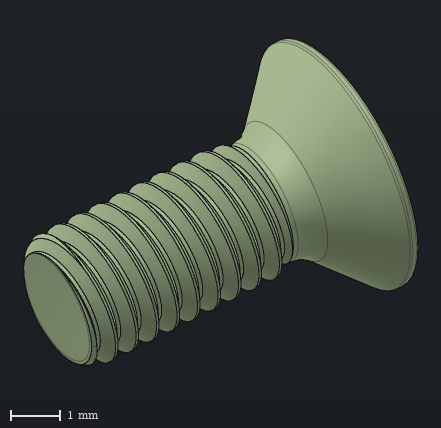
import cadquery as cq
import math

length = 7.0

head_radius = 2.8
rim_width = 0.19
rim_fillet = 0.07
neck_radius = 1.34
neck_fillet = 0.8
cone_length = head_radius - neck_radius

pitches_in_length = 14
pitch = length / pitches_in_length
thread_start = 2.1
thread_length = length - thread_start
major_radius = 1.5
root_radius = 1.2
crest_width = pitch / 8
crest_distance = 2.52
flank_half_angle = 30
flank_slope = math.tan(math.radians(flank_half_angle))
groove_overshoot = 0.035
lead_in_turns = 2
run_out_turns = 1

end_chamfer_angle = 30
end_chamfer_slope = math.tan(math.radians(end_chamfer_angle))
tip_radius = 1.295
dish_radius = 1.22
dish_depth = 0.035


def revolve_about_screw_axis(profile):
    """Turn a closed XY profile (X is the radius) around the Y axis."""
    return profile.close().revolve(360, (0, 0, 0), (0, 1, 0))


def make_head():
    """Rim, countersink cone and neck, with rounded rim edges and neck fillet."""
    cone_end = rim_width + cone_length
    blank = revolve_about_screw_axis(
        cq.Workplane("XY")
        .lineTo(head_radius, 0)
        .lineTo(head_radius, -rim_width)
        .lineTo(neck_radius, -cone_end)
        .lineTo(neck_radius, -thread_start)
        .lineTo(0, -thread_start)
    )
    rounded_neck = blank.edges("%CIRCLE").edges("<<Y[-2]").fillet(neck_fillet)
    return rounded_neck.edges("%CIRCLE").edges(">>Y or >>Y[-2]").fillet(rim_fillet)


def make_shank_envelope():
    """Outline of the finished shank: crest size, chamfered at both ends."""
    start_chamfer = (major_radius - neck_radius) / end_chamfer_slope
    tip_chamfer = (major_radius - tip_radius) / end_chamfer_slope
    return revolve_about_screw_axis(
        cq.Workplane("XY")
        .moveTo(0, -thread_start)
        .lineTo(neck_radius, -thread_start)
        .lineTo(major_radius, -thread_start - start_chamfer)
        .lineTo(major_radius, -length + tip_chamfer)
        .lineTo(tip_radius, -length)
        .lineTo(0, -length)
    )


def make_groove():
    """Helical thread groove that runs out past both ends of the shank."""
    turns = lead_in_turns + math.ceil(thread_length / pitch) + run_out_turns
    outer_radius = major_radius + groove_overshoot
    depth = outer_radius - root_radius
    half_width_at_crest = (pitch - crest_width) / 2
    outer_half_width = half_width_at_crest + groove_overshoot * flank_slope
    root_half_width = outer_half_width - depth * flank_slope
    helix = cq.Wire.makeHelix(pitch, turns * pitch, root_radius)
    groove = (
        cq.Workplane("XZ")
        .moveTo(root_radius, -root_half_width)
        .lineTo(outer_radius, -outer_half_width)
        .lineTo(outer_radius, outer_half_width)
        .lineTo(root_radius, root_half_width)
        .close()
        .sweep(cq.Workplane(obj=helix), isFrenet=True)
    )
    first_root = crest_distance - (lead_in_turns + 0.5) * pitch
    return groove.rotate((0, 0, 0), (1, 0, 0), 90).translate((0, -first_root, 0))


def make_dish():
    """Ball that leaves a shallow hollow in the tip face."""
    sphere_radius = (dish_radius**2 + dish_depth**2) / (2 * dish_depth)
    sphere_center = -length + dish_depth - sphere_radius
    return cq.Workplane("XY").sphere(sphere_radius).translate((0, sphere_center, 0))


def make_thread():
    """Groove a bar longer than the cutter, then trim it to the chamfered shank."""
    groove = make_groove()
    groove_end = -groove.val().BoundingBox().ymin
    bar = cq.Workplane("XZ").circle(major_radius).extrude(groove_end + pitch)
    return bar.cut(groove).intersect(make_shank_envelope())


thread = make_thread().cut(make_dish())
result = make_head().union(thread)